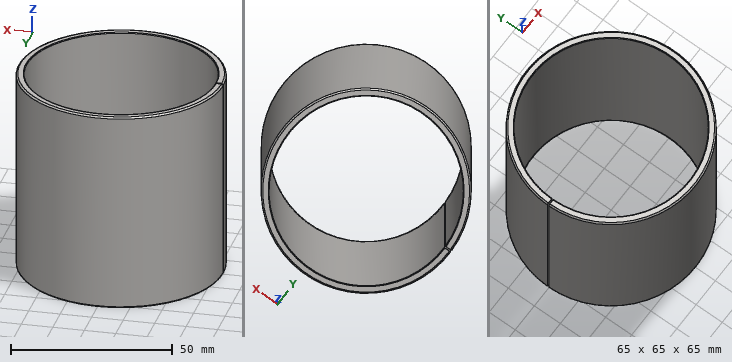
import cadquery as cq

outer_diameter = 65.0
length = 65.0
wall = 2.5
outer_chamfer = 0.5
inner_chamfer = 0.25
slit_angle = 1.0
slit_direction = 180

outer_radius = outer_diameter / 2
inner_radius = outer_radius - wall
half_length = length / 2


def sleeve():
    """Revolve the chamfered wall section, stopping short of a full turn to leave the slit."""
    outer_edge_z = half_length - outer_chamfer
    inner_edge_z = half_length - inner_chamfer
    rim_outer = outer_radius - outer_chamfer
    rim_inner = inner_radius + inner_chamfer
    section = (
        cq.Workplane("XZ")
        .moveTo(inner_radius, -inner_edge_z)
        .lineTo(rim_inner, -half_length)
        .lineTo(rim_outer, -half_length)
        .lineTo(outer_radius, -outer_edge_z)
        .lineTo(outer_radius, outer_edge_z)
        .lineTo(rim_outer, half_length)
        .lineTo(rim_inner, half_length)
        .lineTo(inner_radius, inner_edge_z)
        .close()
    )
    sweep_angle = 360 - slit_angle
    ring = section.revolve(sweep_angle, (0, 0, 0), (0, 1, 0))
    return ring.rotate((0, 0, 0), (0, 0, 1), slit_direction)


result = sleeve()